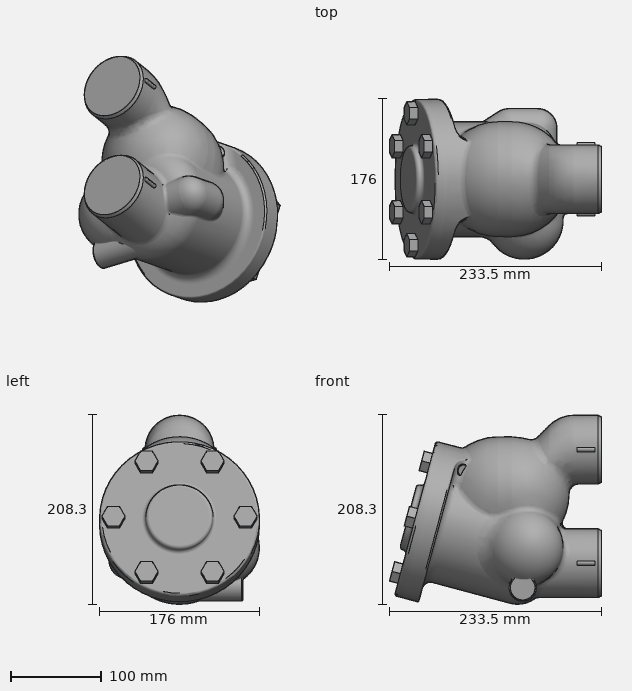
import cadquery as cq
import math


port_dia = 76.0
port_radius = port_dia / 2
port_spacing = 125.0
port_rim_chamfer = 4.0
lower_port_length = 74.7

upper_port_length = 30.5
elbow_angle = 45.0
elbow_tail_run = 32.7

rib_length = 20.0
rib_height = 5.1
rib_gap = 7.2
rib_end_radius = 1.5

chamber_radius = 63.3
chamber_left_x = -114.0
chamber_right_x = -99.0
chamber_z = 76.0

tilt = 15.0
pivot_x = -82.0
pivot_z = 16.3
body_radius = chamber_radius
body_end_x = 29.2
body_end_round = 31.5
flange_dia = 176.0
flange_radius = flange_dia / 2
flange_rear_x = -100.0
flange_thickness = 14.5
flange_foot_radius = 9.3

saddle_half_width = 40.9
saddle_length = 17.7
rim_edge_radius = 1.9

cover_thickness = 13.0
cover_edge_radius = 2.8
cover_boss_dia = 74.0
cover_boss_height = 8.0
cover_boss_edge_radius = 3.7
cover_boss_foot_radius = 4.0
bolt_count = 6
bolt_circle_radius = 72.6
bolt_head_across_corners = 25.7
bolt_head_height = 9.5

tip_dia = 14.0
tip_height = 1.9
tip_chamfer = 1.0
tip_root = 3.5
tip_z = 64.5
tip_depth = 8.6

ball_dia = 86.0
ball_x = -3.3
ball_radius = ball_dia / 2
ball_y = ball_radius - flange_radius

bypass_dia = 43.2
bypass_radius = bypass_dia / 2
bypass_y = 56.3
bypass_z = -8.9
bypass_front_x = -18.2
bypass_rear_x = 14.0
bypass_inlet_angle = 32.0
bypass_inlet_length = 46.7

drain_dia = 30.0
drain_x = -86.9
drain_z = -26.9
drain_face_y = -69.8
drain_chamfer = 1.5

ball_blend = 23.4
port_blend = 7.0
bypass_blend = 3.5
drain_blend = 1.0
elbow_blend = 10.3
chamber_blend = 6.3

touch = 0.002


def edge_samples(edge):
    """Three points spread along an edge."""
    return [edge.positionAt(t) for t in (0.2, 0.5, 0.8)]


def blend(first, second, radius):
    """Join two solids and round the edges where their surfaces meet."""
    joined = first.union(second)
    shells = [first.val().Shells()[0], second.val().Shells()[0]]

    def is_seam(edge):
        points = [cq.Vertex.makeVertex(*p.toTuple()) for p in edge_samples(edge)]
        return all(shell.distance(point) < touch for shell in shells for point in points)

    seams = [edge for edge in joined.edges().vals() if is_seam(edge)]
    return joined.newObject(seams).fillet(radius)


def rod(start, direction, radius, length):
    """Round rod from a start point along a direction."""
    solid = cq.Solid.makeCylinder(radius, length, cq.Vector(*start), cq.Vector(*direction))
    return cq.Workplane(solid)


def ball(center, radius):
    return cq.Workplane("XY").sphere(radius).translate(center)


def place(solid):
    """Move a solid from the tilted body frame to the part frame."""
    return solid.rotate((0, 0, 0), (0, 1, 0), tilt).translate((pivot_x, 0, pivot_z))


def make_chamber():
    left_tip = chamber_left_x - chamber_radius
    right_tip = chamber_right_x + chamber_radius
    slant = chamber_radius * math.sqrt(0.5)
    profile = (
        cq.Workplane("XY", origin=(0, 0, chamber_z)).moveTo(left_tip, 0)
        .threePointArc((chamber_left_x - slant, slant), (chamber_left_x, chamber_radius))
        .lineTo(chamber_right_x, chamber_radius)
        .threePointArc((chamber_right_x + slant, slant), (right_tip, 0))
        .close())
    return profile.revolve(360, (0, 0), (1, 0))


def make_port(axis_z, length):
    port = rod((-length, 0, axis_z), (1, 0, 0), port_radius, length)
    return port.faces(">X").chamfer(port_rim_chamfer, port_rim_chamfer / 2)


def make_elbow():
    """Upright circle that slides down an arc, then along its slope into the chamber."""
    half_angle = math.radians(elbow_angle / 2)
    angle = math.radians(elbow_angle)
    mid = (-upper_port_length - port_radius * math.sin(half_angle),
           port_spacing - port_radius * (1 - math.cos(half_angle)))
    end = (-upper_port_length - port_radius * math.sin(angle),
           port_spacing - port_radius * (1 - math.cos(angle)))
    path = (
        cq.Workplane("XZ").moveTo(-upper_port_length, port_spacing)
        .threePointArc(mid, end)
        .lineTo(end[0] - elbow_tail_run, end[1] - elbow_tail_run * math.tan(angle)))
    bend = (
        cq.Workplane("YZ", origin=(-upper_port_length, 0, port_spacing))
        .circle(port_radius).sweep(path, normal=(1, 0, 0)))
    return bend.union(make_port(port_spacing, upper_port_length))


def make_port_rib(axis_z, side):
    rib = rod((-rib_gap - rib_length, side * port_radius, axis_z), (1, 0, 0), rib_height / 2, rib_length)
    return rib.edges("%CIRCLE").fillet(rib_end_radius)


def make_tube():
    """Tube of the tilted body with a rounded closed end."""
    tube = rod((flange_rear_x, 0, 0), (1, 0, 0), body_radius, body_end_x - flange_rear_x)
    return tube.faces(">X").edges().fillet(body_end_round)


def make_flange():
    """Bolting flange; above the axis it runs on as a saddle with hollow round sides."""
    front_x = flange_rear_x - flange_thickness
    top_x = flange_rear_x + saddle_length
    foot = saddle_half_width + saddle_length
    root = saddle_length * (1 - math.sqrt(0.5))
    mid_x = flange_rear_x + root
    mid_y = saddle_half_width + root
    flange = rod((flange_rear_x, 0, 0), (-1, 0, 0), flange_radius, flange_thickness)
    saddle = (
        cq.Workplane("XY").moveTo(front_x, foot).lineTo(flange_rear_x, foot)
        .threePointArc((mid_x, mid_y), (top_x, saddle_half_width))
        .lineTo(top_x, -saddle_half_width)
        .threePointArc((mid_x, -mid_y), (flange_rear_x, -foot))
        .lineTo(front_x, -foot)
        .close().extrude(flange_radius))
    outer = rod((front_x, 0, 0), (1, 0, 0), flange_radius, flange_thickness + saddle_length)
    return round_rim(flange.union(saddle.intersect(outer)))


def round_rim(flange):
    """Round the rear rim of the flange and the rims of the hollow saddle sides."""
    rear_limit = flange_rear_x + saddle_length

    def is_rim(point):
        on_outside = abs(math.hypot(point.y, point.z) - flange_radius) < touch
        return on_outside and flange_rear_x - touch < point.x < rear_limit - touch

    rims = [e for e in flange.edges().vals() if all(is_rim(p) for p in edge_samples(e))]
    return flange.newObject(rims).fillet(rim_edge_radius)


def make_tip(side):
    """Low round tip standing square on the hollow side of the saddle."""
    sine = (saddle_length - tip_depth) / saddle_length
    cosine = math.sqrt(1 - sine ** 2)
    surface_x = flange_rear_x + tip_depth
    surface_y = saddle_half_width + saddle_length * (1 - cosine)
    outward = (sine, side * cosine, 0)
    start = (surface_x - tip_root * sine, side * (surface_y - tip_root * cosine), tip_z)
    tip = rod(start, outward, tip_dia / 2, tip_root + tip_height)
    end_face = cq.selectors.DirectionMinMaxSelector(cq.Vector(*outward))
    return tip.faces(end_face).chamfer(tip_chamfer)


def make_cover():
    rear_x = flange_rear_x - flange_thickness
    face_x = rear_x - cover_thickness
    plate = rod((rear_x, 0, 0), (-1, 0, 0), flange_radius, cover_thickness)
    plate = plate.faces("<X").edges().fillet(cover_edge_radius)
    boss = rod((face_x, 0, 0), (-1, 0, 0), cover_boss_dia / 2, cover_boss_height)
    cover = blend(plate, boss, cover_boss_foot_radius)
    cover = cover.faces("<X").edges().fillet(cover_boss_edge_radius)
    heads = (
        cq.Workplane("YZ", origin=(face_x, 0, 0))
        .polarArray(bolt_circle_radius, 0, 360, bolt_count, rotate=False)
        .polygon(6, bolt_head_across_corners).extrude(-bolt_head_height))
    return cover.union(heads)


def make_bypass():
    """Pipe along the body with ball corners, running back into the body at both ends."""
    front = (bypass_front_x, bypass_y, bypass_z)
    rear = (bypass_rear_x, bypass_y, bypass_z)
    a = math.radians(bypass_inlet_angle)
    pipe = rod(front, (1, 0, 0), bypass_radius, bypass_rear_x - bypass_front_x)
    pipe = pipe.union(rod(front, (-math.cos(a), -math.sin(a), 0), bypass_radius, bypass_inlet_length))
    pipe = pipe.union(rod(rear, (0, -1, 0), bypass_radius, bypass_y))
    return pipe.union(ball(front, bypass_radius)).union(ball(rear, bypass_radius))


def make_drain():
    drain = rod((drain_x, drain_face_y, drain_z), (0, 1, 0), drain_dia / 2, -drain_face_y)
    return drain.faces("<Y").chamfer(drain_chamfer)


def make_valve_body():
    """Tilted body with its flange, ball, bypass pipe, lower port and drain stub."""
    body = blend(make_tube(), make_flange(), flange_foot_radius)
    body = blend(body, ball((ball_x, ball_y, 0), ball_radius), ball_blend)
    body = blend(place(body), make_port(0, lower_port_length), port_blend)
    body = blend(body, place(make_bypass()), bypass_blend)
    return blend(body, make_drain(), drain_blend)


upper_part = blend(make_chamber(), make_elbow(), elbow_blend)
result = blend(make_valve_body(), upper_part, chamber_blend)

result = result.union(place(make_cover()), clean=False)
for side in (1, -1):
    result = result.union(place(make_tip(side)), clean=False)
    for axis_z in (0, port_spacing):
        result = result.union(make_port_rib(axis_z, side), clean=False)